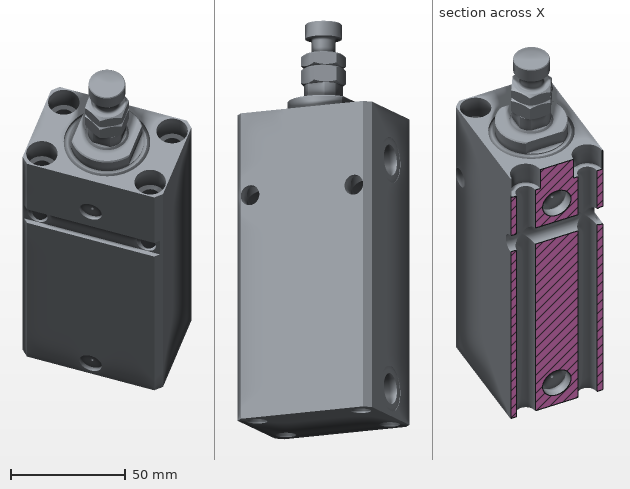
import cadquery as cq
import math

WIDTH = 65.0
DEPTH = 45.0
HOUSING_HEIGHT = 137.2
CORNER_CHAMFER = 3.0

BOLT_DIA = 9.0
BOLT_SPACING_X = 50.1
BOLT_SPACING_Y = 30.0
COUNTERBORE_DIA = 13.8
COUNTERBORE_DEPTH = 10.7
CROSS_HOLE_Z = 100.0
SLOT_HEIGHT = 9.7
SLOT_DEPTH = 2.0

SIDE_PORT_HEIGHTS = (12.3, 115.0)
SIDE_PORT_DIA = 13.6
SIDE_PORT_DEPTH = 12.0
SPOTFACE_DIA = 20.0
SPOTFACE_DEPTH = 0.2
FRONT_PORT_HEIGHTS = (7.3, 115.0)
FRONT_PORT_DIA = 10.4
FRONT_PORT_DEPTH = 2.0
PILOT_DIA = 1.5
PILOT_DEPTH = 3.5

GLAND_RIM_DIA = 38.0
GLAND_RIM_CHAMFER = 1.5
GLAND_BOSS_DIA = 32.2
GLAND_BOSS_CHAMFER = 0.5
GLAND_FLATS = 26.5
GLAND_HEIGHT = 18.6
GLAND_PROJECTION = 6.6
FLATS_START = 0.5

ROD_DIA = 19.1
ROD_CHAMFER = 0.9
ROD_NECK_DIA = 17.0
ROD_FLATS = 15.0
ROD_NECK_HEIGHT = 6.6
STUD_HOLE_DEPTH = 10.7

STUD_TOP = 178.9
HEAD_DIA = 16.1
HEAD_HEIGHT = 6.6
HEAD_CHAMFER = 0.4
STUD_DIA = 10.4
STUD_NECK_HEIGHT = 7.2
STUD_FILLET = 1.0
HEX_FLATS = 17.2
UPPER_HEX_HEIGHT = 6.0
LOWER_HEX_HEIGHT = 7.9
HEX_FACE_DIA = 16.3
HEX_CHAMFER_ANGLE = 30.0

GLAND_TOP = HOUSING_HEIGHT + GLAND_PROJECTION
GLAND_BOTTOM = GLAND_TOP - GLAND_HEIGHT
HEAD_BOTTOM = STUD_TOP - HEAD_HEIGHT
UPPER_HEX_TOP = HEAD_BOTTOM - STUD_NECK_HEIGHT
LOWER_HEX_TOP = UPPER_HEX_TOP - UPPER_HEX_HEIGHT
ROD_TOP = LOWER_HEX_TOP - LOWER_HEX_HEIGHT
ROD_SHOULDER = ROD_TOP - ROD_NECK_HEIGHT
STUD_BOTTOM = ROD_TOP - STUD_HOLE_DEPTH


def cylinder(diameter, bottom, top):
    """Upright cylinder on the Z axis."""
    return cq.Workplane("XY", origin=(0, 0, bottom)).circle(diameter / 2).extrude(top - bottom)


def block(size_x, size_y, bottom, top):
    """Upright rectangular block on the Z axis."""
    return cq.Workplane("XY", origin=(0, 0, bottom)).rect(size_x, size_y).extrude(top - bottom)


def hexagon(bottom, top):
    """Hexagonal prism with corners toward +Y and -Y, its corners bevelled at both ends."""
    corner_dia = HEX_FLATS / math.cos(math.pi / 6)
    prism = cq.Workplane("XY", origin=(0, 0, bottom)).polygon(6, corner_dia).extrude(top - bottom)
    prism = prism.rotate((0, 0, 0), (0, 0, 1), 90)
    inset = (corner_dia - HEX_FACE_DIA) / 2
    drop = inset * math.tan(math.radians(HEX_CHAMFER_ANGLE))
    envelope = cylinder(corner_dia, bottom, top)
    envelope = envelope.faces(">Z").chamfer(drop, inset)
    envelope = envelope.faces("<Z").chamfer(drop, inset)
    return prism.intersect(envelope)


def cut_mounting_holes(housing):
    """Four counterbored through holes from the top face."""
    holes = housing.faces(">Z").workplane().rarray(BOLT_SPACING_X, BOLT_SPACING_Y, 2, 2)
    return holes.cboreHole(BOLT_DIA, COUNTERBORE_DIA, COUNTERBORE_DEPTH)


def cut_cross_slot(housing):
    """Shallow slot across the -Y face, with two through holes along Y in it."""
    slot_plane = cq.Workplane("XZ", origin=(0, -DEPTH / 2, CROSS_HOLE_Z))
    slot = slot_plane.rect(WIDTH, SLOT_HEIGHT).extrude(-SLOT_DEPTH)
    holes = slot_plane.rarray(BOLT_SPACING_X, 1.8, 2, 1).circle(BOLT_DIA / 2).extrude(-DEPTH)
    return housing.cut(slot).cut(holes)


def cut_side_ports(housing):
    """Spotfaced ports in the -X face."""
    for height in SIDE_PORT_HEIGHTS:
        face = cq.Workplane("YZ", origin=(-WIDTH / 2, 0, height))
        housing = housing.cut(face.circle(SPOTFACE_DIA / 2).extrude(SPOTFACE_DEPTH))
        housing = housing.cut(face.circle(SIDE_PORT_DIA / 2).extrude(SIDE_PORT_DEPTH))
        housing = housing.cut(face.circle(PILOT_DIA / 2).extrude(SIDE_PORT_DEPTH + PILOT_DEPTH))
    return housing


def cut_front_ports(housing):
    """Shallow ports in the -Y face."""
    for height in FRONT_PORT_HEIGHTS:
        face = cq.Workplane("XZ", origin=(0, -DEPTH / 2, height))
        housing = housing.cut(face.circle(FRONT_PORT_DIA / 2).extrude(-FRONT_PORT_DEPTH))
        housing = housing.cut(face.circle(PILOT_DIA / 2).extrude(-FRONT_PORT_DEPTH - PILOT_DEPTH))
    return housing


def make_housing():
    housing = block(WIDTH, DEPTH, 0, HOUSING_HEIGHT).edges("|Z").chamfer(CORNER_CHAMFER)
    housing = cut_mounting_holes(housing)
    housing = cut_cross_slot(housing)
    housing = cut_side_ports(housing)
    housing = cut_front_ports(housing)
    return housing.cut(cylinder(GLAND_RIM_DIA, GLAND_BOTTOM, HOUSING_HEIGHT))


def make_gland():
    """Bush with a bevelled rim level with the housing top and a boss with two wrench flats."""
    flats_bottom = HOUSING_HEIGHT + FLATS_START
    rim = cylinder(GLAND_RIM_DIA, GLAND_BOTTOM, HOUSING_HEIGHT).faces(">Z").chamfer(GLAND_RIM_CHAMFER)
    boss_base = cylinder(GLAND_BOSS_DIA, HOUSING_HEIGHT, flats_bottom)
    boss = cylinder(GLAND_BOSS_DIA, flats_bottom, GLAND_TOP).faces(">Z").chamfer(GLAND_BOSS_CHAMFER)
    boss = boss.intersect(block(GLAND_FLATS, GLAND_BOSS_DIA, flats_bottom, GLAND_TOP))
    gland = rim.union(boss_base).union(boss)
    return gland.cut(cylinder(ROD_DIA, GLAND_BOTTOM, GLAND_TOP))


def make_rod():
    """Round rod with a chamfered shoulder, a neck with four flats and a hole for the stud."""
    rod = cylinder(ROD_DIA, GLAND_BOTTOM, ROD_SHOULDER).faces(">Z").chamfer(ROD_CHAMFER)
    neck = cylinder(ROD_NECK_DIA, ROD_SHOULDER, ROD_TOP)
    neck = neck.intersect(block(ROD_FLATS, ROD_FLATS, ROD_SHOULDER, ROD_TOP))
    return rod.union(neck).cut(cylinder(STUD_DIA, STUD_BOTTOM, ROD_TOP))


def make_stud():
    """Plain end, two hexagons, a neck filleted at both ends and a round head."""
    head = cylinder(HEAD_DIA, HEAD_BOTTOM, STUD_TOP).faces(">Z").chamfer(HEAD_CHAMFER)
    shank = cylinder(STUD_DIA, STUD_BOTTOM, ROD_TOP)
    neck_radius = STUD_DIA / 2
    foot_radius = neck_radius + STUD_FILLET
    neck = (
        cq.Workplane("XZ")
        .moveTo(0, UPPER_HEX_TOP)
        .lineTo(foot_radius, UPPER_HEX_TOP)
        .radiusArc((neck_radius, UPPER_HEX_TOP + STUD_FILLET), STUD_FILLET)
        .lineTo(neck_radius, HEAD_BOTTOM - STUD_FILLET)
        .radiusArc((foot_radius, HEAD_BOTTOM), STUD_FILLET)
        .lineTo(0, HEAD_BOTTOM)
        .close()
        .revolve(360, (0, 0, 0), (0, 1, 0))
    )
    upper_hex = hexagon(LOWER_HEX_TOP, UPPER_HEX_TOP)
    lower_hex = hexagon(ROD_TOP, LOWER_HEX_TOP)
    return shank.union(lower_hex).union(upper_hex).union(neck).union(head)


bodies = [make_housing(), make_gland(), make_rod(), make_stud()]

result = cq.Compound.makeCompound([body.solids().val() for body in bodies])